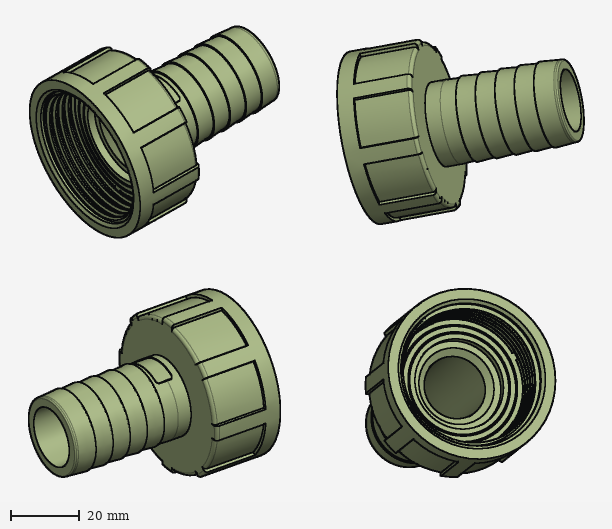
import cadquery as cq
import math

overall_length = 63.0

nut_diameter = 51.0
nut_length = 22.55
nut_band_length = 5.1
nut_edge_radius = 1.1
recess_depth = 1.0
land_count = 8
land_width = 4.9

mouth_diameter = 44.85
counterbore_diameter = 42.8
mouth_chamfer_length = 0.9
counterbore_depth = 1.8
bore_diameter = 39.95

thread_major_diameter = 41.9
thread_start_depth = 0.45
thread_pitch = 2.3
thread_turns = 5.5
groove_root_width = 0.6
flank_half_angle = 27.5
groove_overcut = 0.2

gasket_depth = 12.05
gasket_thickness = 2.6
gasket_diameter = 38.75
gasket_hole_diameter = 27.0
sealing_rib_inner_diameters = (30.25, 34.5)
sealing_rib_width = 0.5
sealing_rib_height = 0.25
tab_count = 3
tab_width = 2.3

flange_diameter = 39.0
flange_thickness = 4.0
collar_diameter = 25.0
collar_end = 27.15
tail_root_diameter = 24.5
barb_diameter = 25.5
barb_count = 5
barb_pitch = 6.0
first_barb_edge = 32.05
tip_cylinder_length = 1.1
tip_edge_radius = 0.45
inlet_diameter = 22.95
inlet_cone_length = 1.7
tail_bore_inlet_diameter = 18.65
tail_bore_tip_diameter = 18.4

pocket_width = 13.5
pocket_length = 5.6
pocket_start = 24.95
pocket_corner_radius = 0.95
pocket_depth = 0.25

gasket_back = gasket_depth + gasket_thickness
flange_back = gasket_back + flange_thickness


def revolve_profile(points):
    """Solid of revolution about the Y axis from (radius, y) points."""
    return cq.Workplane("XY").polyline(points).close().revolve(360, (0, 0, 0), (0, 1, 0))


def cylinder(diameter, start, end):
    """Solid cylinder on the Y axis between two y positions."""
    radius = diameter / 2
    return revolve_profile([(0, start), (radius, start), (radius, end), (0, end)])


def around_axis(shape, count, first_angle=0.0):
    """Union of copies of a shape, spread evenly about the Y axis."""
    copies = cq.Workplane("XY")
    for index in range(count):
        angle = first_angle + index * 360 / count
        copies = copies.union(shape.rotate((0, 0, 0), (0, 1, 0), angle))
    return copies


def make_grip_lands():
    """Bars from the axis out to lands at the full nut diameter, standing proud of the recessed skirt."""
    envelope = cylinder(nut_diameter, 0, nut_length).faces(">Y").edges().fillet(nut_edge_radius)
    bar_size = (land_width, nut_length, nut_diameter / 2)
    land = cq.Workplane("XY").box(*bar_size, centered=(True, False, False))
    return around_axis(land, land_count).intersect(envelope)


def make_thread_groove():
    """Right-hand helical groove that runs out through the counterbore floor at the nut mouth."""
    minor_radius = bore_diameter / 2
    groove_depth = thread_major_diameter / 2 - minor_radius
    half_root = groove_root_width / 2
    flank_slope = math.tan(math.radians(flank_half_angle))
    half_mouth = half_root + (groove_depth + groove_overcut) * flank_slope
    inner_radius = minor_radius - groove_overcut
    outer_radius = thread_major_diameter / 2

    helix = cq.Wire.makeHelix(thread_pitch, thread_pitch * thread_turns, minor_radius)
    groove = (
        cq.Workplane("XZ")
        .polyline([
            (inner_radius, -half_mouth),
            (outer_radius, -half_root),
            (outer_radius, half_root),
            (inner_radius, half_mouth),
        ])
        .close()
        .sweep(cq.Workplane(obj=helix), isFrenet=True)
    )
    return (
        groove
        .rotate((0, 0, 0), (1, 0, 0), -90)
        .rotate((0, 0, 0), (0, 1, 0), -90)
        .translate((0, thread_start_depth, 0))
    )


def make_nut():
    skirt = cylinder(nut_diameter - 2 * recess_depth, 0, nut_length)
    skirt = skirt.faces(">Y").edges().fillet(nut_edge_radius)
    band = cylinder(nut_diameter, 0, nut_band_length)
    mouth_radius = mouth_diameter / 2
    counterbore_radius = counterbore_diameter / 2
    bore_radius = bore_diameter / 2
    collar_radius = collar_diameter / 2
    cavity = revolve_profile([
        (0, 0),
        (mouth_radius, 0),
        (counterbore_radius, mouth_chamfer_length),
        (counterbore_radius, counterbore_depth),
        (bore_radius, counterbore_depth),
        (bore_radius, flange_back),
        (collar_radius, flange_back),
        (collar_radius, nut_length),
        (0, nut_length),
    ])
    body = skirt.union(band).union(make_grip_lands())
    return body.cut(cavity).cut(make_thread_groove())


def make_sealing_rib(inner_diameter):
    """Triangular ring on the gasket face that points towards the nut mouth."""
    inner_radius = inner_diameter / 2
    return revolve_profile([
        (inner_radius, gasket_depth),
        (inner_radius + sealing_rib_width, gasket_depth),
        (inner_radius + sealing_rib_width / 2, gasket_depth - sealing_rib_height),
    ])


def make_gasket():
    """Flat ring centred in the nut bore by three tabs, the first of them at the bottom."""
    bar_size = (tab_width, gasket_thickness, bore_diameter / 2)
    tab = cq.Workplane("XY").box(*bar_size, centered=(True, False, False))
    tab = tab.translate((0, gasket_depth, 0))
    tabs = around_axis(tab, tab_count, first_angle=180)
    tabs = tabs.intersect(cylinder(bore_diameter, gasket_depth, gasket_back))
    gasket = cylinder(gasket_diameter, gasket_depth, gasket_back).union(tabs)
    gasket = gasket.cut(cylinder(gasket_hole_diameter, gasket_depth, gasket_back))
    for inner_diameter in sealing_rib_inner_diameters:
        gasket = gasket.union(make_sealing_rib(inner_diameter))
    return gasket


def make_label_pocket():
    """Shallow rounded rectangle that follows the curve of the collar."""
    outline = (
        cq.Workplane("XY")
        .center(0, pocket_start + pocket_length / 2)
        .rect(pocket_width, pocket_length)
        .extrude(barb_diameter)
        .edges("|Z")
        .fillet(pocket_corner_radius)
    )
    floor_diameter = collar_diameter - 2 * pocket_depth
    return outline.cut(cylinder(floor_diameter, 0, overall_length))


def make_hose_tail():
    flange_radius = flange_diameter / 2
    collar_radius = collar_diameter / 2
    root_radius = tail_root_diameter / 2
    barb_radius = barb_diameter / 2
    profile = [
        (0, gasket_back),
        (flange_radius, gasket_back),
        (flange_radius, flange_back),
        (collar_radius, flange_back),
        (collar_radius, collar_end),
    ]
    for index in range(barb_count):
        barb_edge = first_barb_edge + index * barb_pitch
        profile += [(root_radius, barb_edge), (barb_radius, barb_edge)]
    profile += [
        (root_radius, overall_length - tip_cylinder_length),
        (root_radius, overall_length),
        (0, overall_length),
    ]
    tail = revolve_profile(profile).faces(">Y").edges().fillet(tip_edge_radius)

    inlet_end = gasket_back + inlet_cone_length
    bore = revolve_profile([
        (0, gasket_back),
        (inlet_diameter / 2, gasket_back),
        (tail_bore_inlet_diameter / 2, inlet_end),
        (tail_bore_tip_diameter / 2, overall_length),
        (0, overall_length),
    ])
    return tail.cut(bore).cut(make_label_pocket())


nut = make_nut()
gasket = make_gasket()
hose_tail = make_hose_tail()

result = cq.Compound.makeCompound([
    *nut.solids().vals(),
    *gasket.solids().vals(),
    *hose_tail.solids().vals(),
])